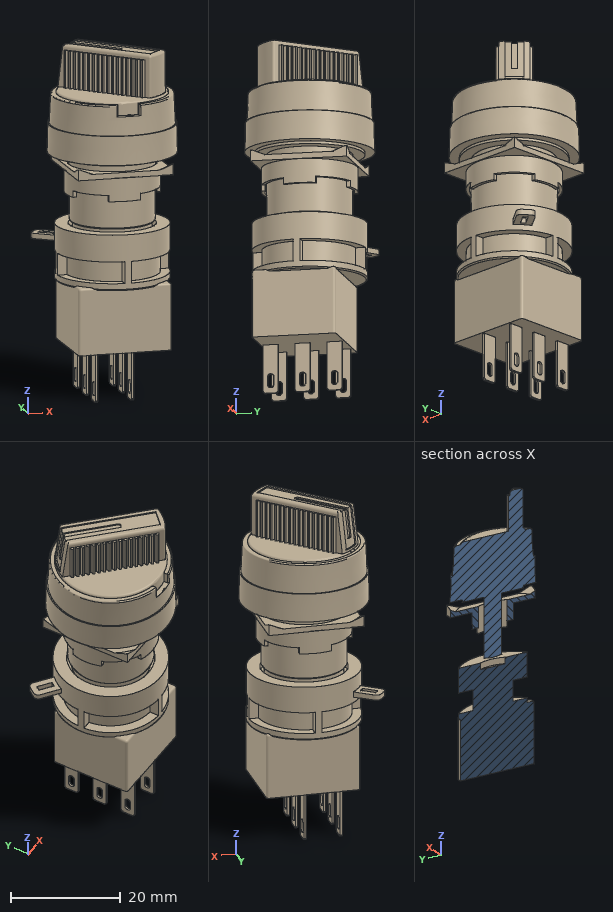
import cadquery as cq
import math

top_z = 64.5
disc_top_z = 56.5
disc_radius = 10.3
disc_round = 0.5
bezel_top_z = 56.05
bezel_step_z = 50.4
bezel_bottom_z = 44.95
bezel_top_radius = 11.3
bezel_step_radius = 11.55
skirt_top_radius = 11.8
skirt_bottom_radius = 11.95
bezel_round = 0.25
seal_bottom_z = 44.45
seal_radius = 10.05
barrel_radius = 7.9
barrel_bottom_z = 32.05
barrel_chamfer = 0.25
neck_radius = 7.3
neck_bottom_z = 30.3

notch_width = 4.0
notch_flare = 0.25
notch_bottom_z = 53.9

pointer_angle = 135.0
handle_width = 5.75
tail_radius = 10.0
pointer_top_radius = 9.2
pointer_base_radius = 10.2
handle_corner_round = 0.4
handle_top_round = 0.6

recess_width = 3.5
recess_tail = 8.9
recess_bottom_z = 56.95
recess_depth = 0.25
line_width = 1.0
line_tail = 1.4
line_bottom_z = 58.7
line_depth = 0.5

rib_count = 17
rib_row_length = 16.0
rib_pitch = rib_row_length / (rib_count - 1)
rib_base_width = 0.8
rib_tip_width = 0.3
rib_height = 0.5
rib_top_z = 63.55

nut_bore_radius = 8.2
flange_side = 18.05
flange_corner_z = 43.9
flange_dish_z = 42.95
flange_bottom_z = 41.9
dish_inner_radius = 10.95
dish_outer_radius = 12.5
ring_radius = 8.85
ring_bottom_z = 37.5
tooth_height = 1.15
tooth_width = 6.05

collar_top_z = 31.6
collar_bottom_z = 21.15
collar_radius = 10.6
collar_chamfer = 0.25
socket_radius = 8.05
window_top_z = 26.6
window_bottom_z = 22.5
window_depth = 1.8
window_rib_width = 1.3

tab_angle = 143.0
tab_end = 15.55
tab_width = 3.5
tab_top_z = 28.7
tab_bottom_z = 27.7
tab_round = 0.95
tab_slot_width = 0.95
tab_slot_start = 11.35
tab_slot_end = 14.3

box_width = 17.7
box_depth = 15.75
box_center_y = -0.95
box_top_z = 21.6
box_bottom_z = 9.0
box_round = 0.5

terminal_xs = (-5.35, 1.5)
terminal_rows = 3
terminal_pitch = 6.0
terminal_width = 2.85
terminal_thickness = 0.45
terminal_chamfer = 0.3
eye_width = 1.15
eye_length = 2.6
eye_center_z = 2.3

overcut = 0.65


def centred_block(x_size, y_size, lower_z, upper_z):
    """Box centred on the Z axis between two heights."""
    return cq.Workplane("XY").workplane(offset=lower_z).rect(x_size, y_size).extrude(upper_z - lower_z)


def cylinder(radius, lower_z, upper_z):
    """Cylinder on the Z axis between two heights."""
    return cq.Workplane("XY").workplane(offset=lower_z).circle(radius).extrude(upper_z - lower_z)


def revolved(points):
    """Solid of revolution about Z from (radius, z) points."""
    return cq.Workplane("XZ").polyline(points).close().revolve(360, (0, 0, 0), (0, 1, 0))


def span_block(x_start, x_end, width, lower_z, upper_z):
    """Box from x_start to x_end, centred on the X axis."""
    block = centred_block(x_end - x_start, width, lower_z, upper_z)
    return block.translate(((x_start + x_end) / 2, 0, 0))


def bezel_and_barrel():
    body = revolved([
        (0, bezel_top_z),
        (bezel_top_radius, bezel_top_z),
        (bezel_step_radius, bezel_step_z),
        (skirt_top_radius, bezel_step_z),
        (skirt_bottom_radius, bezel_bottom_z),
        (seal_radius, bezel_bottom_z),
        (seal_radius, seal_bottom_z),
        (barrel_radius, seal_bottom_z),
        (barrel_radius, barrel_bottom_z + barrel_chamfer),
        (barrel_radius - barrel_chamfer, barrel_bottom_z),
        (neck_radius, barrel_bottom_z),
        (neck_radius, neck_bottom_z),
        (0, neck_bottom_z),
    ])
    body = body.faces(">Z").edges().fillet(bezel_round)
    return body.cut(index_notch())


def index_notch():
    """Cutter for the rim notch; its sides flare outward at the rim's outer face."""
    inner = notch_width / 2
    outer = inner + 2 * notch_flare
    flare_y = math.sqrt(bezel_top_radius ** 2 - inner ** 2) - notch_flare
    outer_y = flare_y + 2 * notch_flare
    points = [
        (-inner, 0),
        (-inner, -flare_y),
        (-outer, -outer_y),
        (outer, -outer_y),
        (inner, -flare_y),
        (inner, 0),
    ]
    notch = cq.Workplane("XY").workplane(offset=notch_bottom_z).polyline(points).close()
    return notch.extrude(top_z - notch_bottom_z)


def knob_disc():
    disc = cylinder(disc_radius, bezel_step_z, disc_top_z)
    return disc.faces(">Z").edges().fillet(disc_round)


def handle_core(inset):
    """Handle envelope along X with the pointer at +X, moved inward and down by inset."""
    height_z = top_z - inset
    tail = cylinder(tail_radius, disc_top_z, height_z)
    tail = tail.intersect(span_block(-disc_radius, 0, handle_width, disc_top_z, height_z))
    pointer = revolved([
        (0, disc_top_z),
        (pointer_base_radius - inset, disc_top_z),
        (pointer_top_radius - inset, height_z),
        (0, height_z),
    ])
    pointer = pointer.intersect(span_block(0, disc_radius, handle_width, disc_top_z, height_z))
    return tail.union(pointer).clean()


def end_channel(width, tail, bottom_z, depth):
    """Cutter for a channel along the top of the handle and down its pointer end."""
    channel = span_block(-tail, disc_radius + overcut, width, bottom_z, top_z + overcut)
    return channel.cut(handle_core(depth))


def index_line():
    line = end_channel(line_width, line_tail, line_bottom_z, line_depth)
    round_end = cylinder(line_width / 2, top_z - line_depth, top_z + overcut).translate((-line_tail, 0, 0))
    return line.union(round_end)


def grip_rib(x, side):
    """Tapered rib on one side of the handle; side is +1 or -1."""
    face_y = side * handle_width / 2
    points = [
        (x - rib_base_width / 2, face_y),
        (x - rib_tip_width / 2, face_y + side * rib_height),
        (x + rib_tip_width / 2, face_y + side * rib_height),
        (x + rib_base_width / 2, face_y),
    ]
    rib = cq.Workplane("XY").workplane(offset=disc_top_z).polyline(points).close()
    return rib.extrude(rib_top_z - disc_top_z)


def handle():
    body = handle_core(0).edges("|Z").fillet(handle_corner_round)
    body = body.faces(">Z").edges().fillet(handle_top_round)
    body = body.cut(end_channel(recess_width, recess_tail, recess_bottom_z, recess_depth))
    body = body.cut(index_line())
    for number in range(rib_count):
        x = number * rib_pitch - rib_row_length / 2
        for side in (1, -1):
            body = body.union(grip_rib(x, side))
    return body.rotate((0, 0, 0), (0, 0, 1), pointer_angle)


def make_operator():
    return bezel_and_barrel().union(knob_disc()).union(handle())


def make_locknut():
    flange = centred_block(flange_side, flange_side, flange_bottom_z, flange_corner_z)
    dish = revolved([
        (0, flange_dish_z),
        (dish_inner_radius, flange_dish_z),
        (dish_outer_radius, flange_corner_z),
        (0, flange_corner_z),
    ])
    ring = cylinder(ring_radius, ring_bottom_z, flange_bottom_z)
    gaps = cylinder(ring_radius + overcut, ring_bottom_z, ring_bottom_z + tooth_height)
    for x_size, y_size in ((flange_side, tooth_width), (tooth_width, flange_side)):
        gaps = gaps.cut(centred_block(x_size, y_size, ring_bottom_z, ring_bottom_z + tooth_height))
    nut = flange.cut(dish).union(ring.cut(gaps))
    return nut.cut(cylinder(nut_bore_radius, ring_bottom_z, flange_corner_z))


def collar():
    """Windowed collar with a top socket whose floor carries the barrel neck."""
    body = cylinder(collar_radius, collar_bottom_z, collar_top_z)
    body = body.faces("<Z").edges().chamfer(collar_chamfer)
    windows = cylinder(collar_radius + overcut, window_bottom_z, window_top_z)
    windows = windows.cut(cylinder(collar_radius - window_depth, window_bottom_z, window_top_z))
    rib_span = 2 * (collar_radius + overcut)
    for x_size, y_size in ((rib_span, window_rib_width), (window_rib_width, rib_span)):
        windows = windows.cut(centred_block(x_size, y_size, window_bottom_z, window_top_z))
    socket = cylinder(socket_radius, neck_bottom_z, collar_top_z)
    return body.cut(windows).cut(socket)


def lever_tab():
    tab = span_block(collar_radius / 2, tab_end, tab_width, tab_bottom_z, tab_top_z)
    tab = tab.edges("|Z and >X").fillet(tab_round)
    slot = span_block(tab_slot_start, tab_slot_end, tab_slot_width, tab_bottom_z, tab_top_z)
    return tab.cut(slot).rotate((0, 0, 0), (0, 0, 1), tab_angle)


def contact_box():
    body = centred_block(box_width, box_depth, box_bottom_z, box_top_z)
    body = body.edges("|Z or >Z").fillet(box_round)
    return body.translate((0, box_center_y, 0))


def terminal(x, y):
    blade = centred_block(terminal_thickness, terminal_width, 0, box_bottom_z)
    blade = blade.faces("<Z").edges("|X").chamfer(terminal_chamfer)
    eye = cq.Workplane("YZ").center(0, eye_center_z).slot2D(eye_length, eye_width, 90)
    blade = blade.cut(eye.extrude(terminal_thickness, both=True))
    return blade.translate((x, y, 0))


def make_contact_block():
    body = collar().union(lever_tab()).union(contact_box())
    for x in terminal_xs:
        for row in range(terminal_rows):
            y = box_center_y + (row - (terminal_rows - 1) / 2) * terminal_pitch
            body = body.union(terminal(x, y))
    return body


operator = make_operator().solids().val()
locknut = make_locknut().solids().val()
contact_block = make_contact_block().solids().val()
result = cq.Compound.makeCompound([operator, locknut, contact_block])